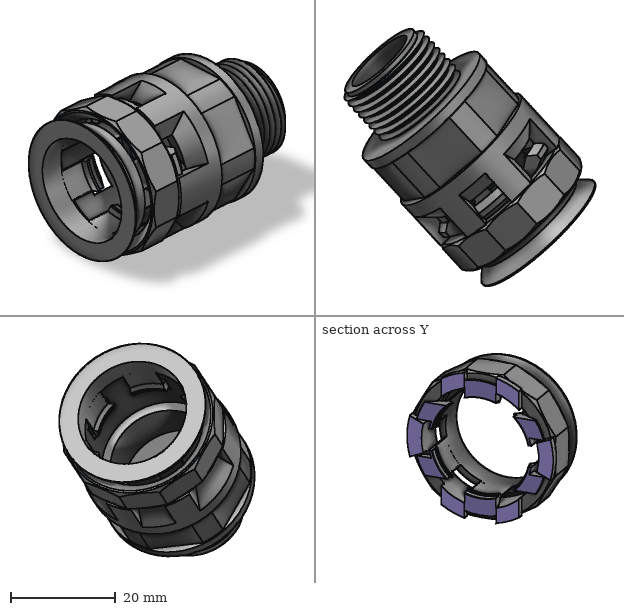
import cadquery as cq
import math


nut_front_y = 4.42
nut_back_y = 11.47
window_inner_y = 16.17
collar_back_y = 22.5
flange_front_y = 31.95
flange_back_y = 34.0
thread_end_y = 45.1
tip_y = 46.1

through_radius = 6.95
socket_radius = 12.25
socket_floor_y = flange_front_y
collar_radius = 15.4
flange_radius = 14.98
hex_across_flats = 27.5
hex_corner_radius = 14.75
nut_across_flats = 29.95
nut_sides = 12
nut_face_radius = 14.8
nut_countersink_radius = 14.4

middle_window_half_width = 3.3
corner_window_min_x = 8.15
side_pillar_apex_x = 4.7
side_pillar_wall_angle = 23.0
window_overcut = 0.45

thread_root_radius = 8.8
thread_crest_radius = 10.0
thread_base_width = 1.47
thread_sink = 0.2
first_crest_y = 33.22
last_crest_y = 43.75
crest_gaps = 7
thread_pitch = (last_crest_y - first_crest_y) / crest_gaps

insert_bore_radius = 10.75
insert_tube_radius = 12.03
insert_flange_radius = 14.5
insert_rim_y = 0.28
insert_cone_end_y = 2.75
finger_base_y = 5.05
finger_outer_radius = 10.95
finger_half_width = middle_window_half_width
side_finger_min_z = 2.2
side_barb_min_z = 3.75
side_finger_max_z = 7.6

barb_radius = 13.9
barb_start_y = 10.7
barb_crest_start_y = 12.55
barb_crest_end_y = 13.7
barb_tip_radius = 12.55
barb_tip_y = 15.0
hook_radius = 10.0
hook_start_y = 10.3
hook_crest_start_y = 11.05
hook_crest_end_y = 11.55
hook_back_radius = 10.3
hook_back_y = barb_tip_y - (barb_tip_radius - hook_back_radius)

seal_bore_radius = 10.5
seal_front_y = collar_back_y

beyond = 18.45


def revolved(outline):
    """Solid of revolution about Y from (radius, y) points."""
    return cq.Workplane("XY").polyline(outline).close().revolve(360, (0, 0), (0, 1))


def cylinder(radius, start_y, end_y):
    return revolved([(0, start_y), (radius, start_y), (radius, end_y), (0, end_y)])


def prism(sides, across_flats, start_y, end_y):
    """Regular prism along Y with a flat facing +Z."""
    flat_angle = 360 / sides
    corner_radius = across_flats / 2 / math.cos(math.radians(flat_angle / 2))
    angles = [math.radians(90 + flat_angle * (i + 0.5)) for i in range(sides)]
    corners = [(corner_radius * math.cos(a), corner_radius * math.sin(a)) for a in angles]
    section = cq.Workplane("XZ", origin=(0, start_y, 0)).polyline(corners).close()
    return section.extrude(start_y - end_y)


def block(x_range, z_range):
    """Box between the given X and Z limits that spans the whole length of the fitting."""
    (x0, x1), (z0, z1) = x_range, z_range
    return cq.Workplane("XY").box(x1 - x0, tip_y, z1 - z0, centered=False).translate((x0, 0, z0))


def mirrored_blocks(x_range, z_range):
    """The block in the +X +Z quarter and its mirror images in the other three quarters."""
    quarter = block(x_range, z_range)
    half = quarter.union(quarter.mirror("YZ"))
    return half.union(half.mirror("XY"))


def make_nut():
    """Twelve-sided nut section with both ends chamfered at 45 degrees."""
    length = nut_back_y - nut_front_y
    bulge_radius = nut_face_radius + length / 2
    middle_y = nut_front_y + length / 2
    chamfer_envelope = revolved([
        (0, nut_front_y),
        (nut_face_radius, nut_front_y),
        (bulge_radius, middle_y),
        (nut_face_radius, nut_back_y),
        (0, nut_back_y),
    ])
    return prism(nut_sides, nut_across_flats, nut_front_y, nut_back_y).intersect(chamfer_envelope)


def make_thread():
    """Threaded spigot with a left-handed V ridge, cut off square at the flange and short of the tip."""
    turns_height = thread_end_y + thread_pitch - first_crest_y
    helix = cq.Wire.makeHelix(
        thread_pitch, turns_height, thread_root_radius,
        center=cq.Vector(0, 0, 0), dir=cq.Vector(0, 0, 1), lefthand=True,
    )
    buried_radius = thread_root_radius - thread_sink
    profile = (
        cq.Workplane("XZ")
        .moveTo(buried_radius, -thread_base_width / 2)
        .lineTo(thread_crest_radius, 0)
        .lineTo(buried_radius, thread_base_width / 2)
        .close()
    )
    ridge = profile.sweep(cq.Workplane(helix), isFrenet=True)
    ridge = ridge.rotate((0, 0, 0), (1, 0, 0), -90).translate((0, first_crest_y, 0))
    ridge = ridge.intersect(cylinder(beyond, flange_back_y, thread_end_y))
    return cylinder(thread_root_radius, flange_back_y, tip_y).union(ridge)


def make_window_cutter():
    """Six openings whose back ends slope outwards at 45 degrees."""
    inner_radius = socket_radius - window_overcut
    slope_start_y = window_inner_y - socket_radius
    ring = revolved([
        (inner_radius, nut_back_y),
        (beyond, nut_back_y),
        (beyond, slope_start_y + beyond),
        (inner_radius, slope_start_y + inner_radius),
    ])
    middle = block((-middle_window_half_width, middle_window_half_width), (-beyond, beyond))
    corners = mirrored_blocks((corner_window_min_x, beyond), (0, beyond))
    edge_z = (beyond - side_pillar_apex_x) * math.tan(math.radians(side_pillar_wall_angle))
    wedge = [(side_pillar_apex_x, 0), (beyond, edge_z), (beyond, -edge_z)]
    side_pillar = cq.Workplane("XZ").polyline(wedge).close().extrude(-tip_y)
    corners = corners.cut(side_pillar).cut(side_pillar.mirror("YZ"))
    return ring.intersect(middle.union(corners))


def make_fitting_body():
    hex_section = prism(6, hex_across_flats, collar_back_y, flange_front_y)
    hex_section = hex_section.intersect(cylinder(hex_corner_radius, collar_back_y, flange_front_y))
    countersink_end_y = nut_front_y + nut_countersink_radius - socket_radius
    cavity = revolved([
        (0, nut_front_y),
        (nut_countersink_radius, nut_front_y),
        (socket_radius, countersink_end_y),
        (socket_radius, socket_floor_y),
        (through_radius, socket_floor_y),
        (through_radius, tip_y),
        (0, tip_y),
    ])
    return (
        make_nut()
        .union(cylinder(collar_radius, nut_back_y, collar_back_y))
        .union(hex_section)
        .union(cylinder(flange_radius, flange_front_y, flange_back_y))
        .union(make_thread())
        .cut(cavity)
        .cut(make_window_cutter())
    )


def make_finger_ring():
    """Ring with the fingers' section: a thin arm whose head has an outer barb and an inner hook."""
    return revolved([
        (insert_bore_radius, finger_base_y),
        (finger_outer_radius, finger_base_y),
        (finger_outer_radius, barb_start_y),
        (barb_radius, barb_crest_start_y),
        (barb_radius, barb_crest_end_y),
        (barb_tip_radius, barb_tip_y),
        (hook_back_radius, hook_back_y),
        (hook_back_radius, hook_crest_end_y),
        (hook_radius, hook_crest_end_y),
        (hook_radius, hook_crest_start_y),
        (insert_bore_radius, hook_start_y),
    ])


def make_side_barb_trim():
    """Space beside the side fingers' barbs, outside the arms' outer surface."""
    around_arms = cylinder(beyond, finger_base_y, tip_y).cut(
        cylinder(finger_outer_radius, finger_base_y, tip_y)
    )
    strips = mirrored_blocks((finger_half_width, beyond), (0, side_barb_min_z))
    return around_arms.intersect(strips)


def make_clamp_insert():
    tube = revolved([
        (insert_bore_radius, 0),
        (insert_flange_radius, 0),
        (insert_flange_radius, insert_rim_y),
        (insert_tube_radius, insert_cone_end_y),
        (insert_tube_radius, finger_base_y),
        (insert_bore_radius, finger_base_y),
    ])
    middle = block((-finger_half_width, finger_half_width), (-beyond, beyond))
    sides = mirrored_blocks((finger_half_width, beyond), (side_finger_min_z, side_finger_max_z))
    fingers = make_finger_ring().intersect(middle.union(sides)).cut(make_side_barb_trim())
    return tube.union(fingers)


def make_seal_sleeve():
    return revolved([
        (seal_bore_radius, seal_front_y),
        (socket_radius, seal_front_y),
        (socket_radius, socket_floor_y),
        (seal_bore_radius, socket_floor_y),
    ])


fitting_body = make_fitting_body()
clamp_insert = make_clamp_insert()
seal_sleeve = make_seal_sleeve()

result = cq.Compound.makeCompound([
    fitting_body.solids().val(),
    clamp_insert.solids().val(),
    seal_sleeve.val(),
])